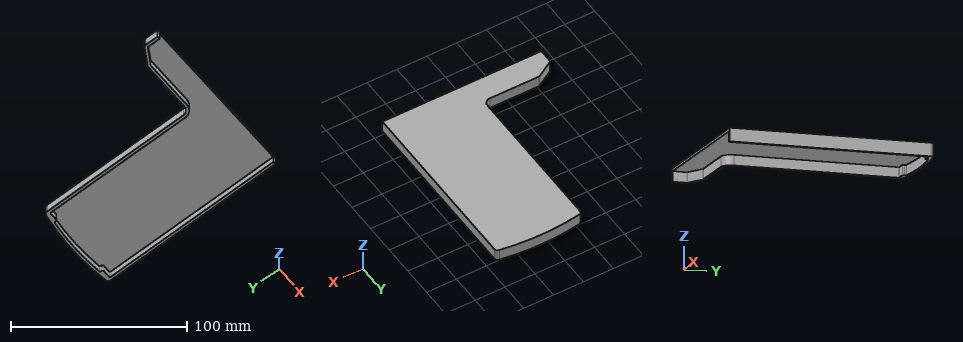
import cadquery as cq

length = 124.5
width = 106.5
height = 8.0
wall = 1.9

arm_depth = 16.7
arm_end_depth = 9.7
arm_bevel_run = 11.7
body_left = 49.0
shoulder_y = 122.0
inside_corner_radius = 4.0
outside_corner_radius = 2.2

pad_face_y = 119.3
pad_reach = 8.1
pad_fillet = 0.9
pad_corner_radius = 0.6

body_middle = (body_left + width) / 2
front_overrun = 2 * wall


def round_upright_edges(solid, x, y_min, y_max, radius):
    """Fillet the vertical edges at one X position within a range of Y."""
    margin = 0.1
    selector = cq.selectors.BoxSelector(
        (x - margin, y_min - margin, -height), (x + margin, y_max + margin, 2 * height)
    )
    return solid.edges("|Z").edges(selector).fillet(radius)


def l_shaped_block(front_y):
    """Solid L with a bowed back edge, starting from the given front plane."""
    block = (
        cq.Workplane("XY")
        .moveTo(0, front_y)
        .lineTo(width, front_y)
        .lineTo(width, shoulder_y)
        .threePointArc((body_middle, length), (body_left, shoulder_y))
        .lineTo(body_left, arm_depth)
        .lineTo(arm_bevel_run, arm_depth)
        .lineTo(0, arm_end_depth)
        .close()
        .extrude(height)
    )
    corners = (
        (0, arm_end_depth, outside_corner_radius),
        (arm_bevel_run, arm_depth, outside_corner_radius),
        (body_left, arm_depth, inside_corner_radius),
        (body_left, shoulder_y, outside_corner_radius),
        (width, shoulder_y, outside_corner_radius),
    )
    for x, y, radius in corners:
        block = round_upright_edges(block, x, y, y, radius)
    return block


def cavity():
    """Inner space, a wall thickness inside the outline and running out of the front."""
    space = (
        l_shaped_block(-front_overrun)
        .faces("<Z")
        .wires()
        .toPending()
        .workplane(origin=(0, 0, 0), invert=True)
        .offset2D(-wall)
        .extrude(height - wall, combine=False)
    )
    for wall_x, inward in ((body_left, 1), (width, -1)):
        edge_x = wall_x + inward * pad_reach
        pad = (
            cq.Workplane("XY")
            .moveTo(wall_x, pad_face_y)
            .lineTo(edge_x, pad_face_y)
            .lineTo(edge_x, length)
            .lineTo(wall_x, length)
            .close()
            .extrude(height)
        )
        space = space.cut(pad)
        space = round_upright_edges(space, edge_x, pad_face_y, length, pad_fillet)
        inner_x = wall_x + inward * wall
        space = round_upright_edges(space, inner_x, pad_face_y, pad_face_y, pad_corner_radius)
    return space


result = l_shaped_block(0).cut(cavity())